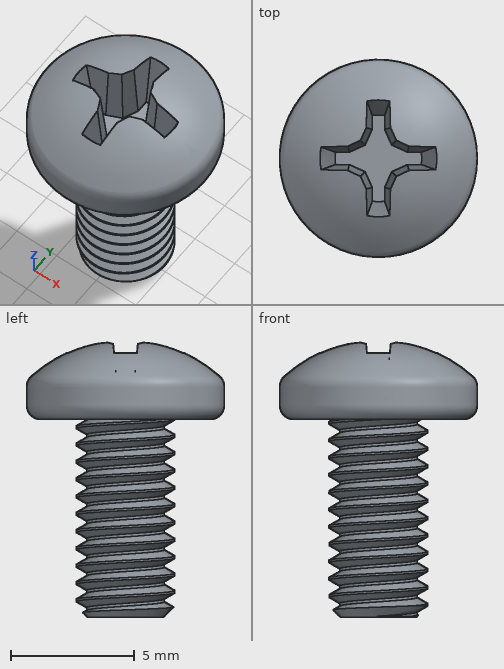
import math

import cadquery as cq


head_radius = 4.0
dome_radius = 5.7
dome_apex_height = 3.206
rim_fillet = 0.57

shank_length = 8.0
pitch = 0.7
major_radius = 2.0
thread_depth_ratio = 0.6134
minor_radius = major_radius - thread_depth_ratio * pitch
crest_width = pitch / 8
flank_angle = 30.0
first_crest_height = -0.315
thread_run_in = pitch
thread_run_out = pitch
ridge_root_overlap = 0.05
tip_radius = 1.53
tip_chamfer = 0.7

recess_floor_height = 0.3
recess_arm_half_width = 0.25
recess_outline_reach = 3.0
recess_arm_reach = 1.75
recess_arm_root = 1.18
recess_inner_corner = 0.54
recess_wall_draft = 5.0
recess_end_draft = 14.3


def on_arc(centre, radius, angle):
    """Point of an arc at an angle measured from the first axis of its plane."""
    return (centre[0] + radius * math.cos(angle), centre[1] + radius * math.sin(angle))


def make_head():
    """Domed disc whose rim is rounded below and blends tangentially into the dome above."""
    fillet_centre_x = head_radius - rim_fillet
    dome_centre_z = dome_apex_height - dome_radius
    top_fillet_rise = math.sqrt((dome_radius - rim_fillet) ** 2 - fillet_centre_x**2)
    blend_angle = math.atan2(top_fillet_rise, fillet_centre_x)
    dome_middle_angle = (blend_angle + math.pi / 2) / 2
    dome_centre = (0, dome_centre_z)
    top_fillet_centre = (fillet_centre_x, dome_centre_z + top_fillet_rise)
    bottom_fillet_centre = (fillet_centre_x, rim_fillet)

    profile = (
        cq.Workplane("XZ")
        .lineTo(fillet_centre_x, 0)
        .threePointArc(
            on_arc(bottom_fillet_centre, rim_fillet, -math.pi / 4),
            on_arc(bottom_fillet_centre, rim_fillet, 0),
        )
        .lineTo(*on_arc(top_fillet_centre, rim_fillet, 0))
        .threePointArc(
            on_arc(top_fillet_centre, rim_fillet, blend_angle / 2),
            on_arc(dome_centre, dome_radius, blend_angle),
        )
        .threePointArc(on_arc(dome_centre, dome_radius, dome_middle_angle), (0, dome_apex_height))
        .close()
    )
    return profile.revolve(360, (0, 0, 0), (0, 1, 0))


def make_ridge():
    """Right-handed helical ridge, longer than the shank at both ends."""
    helix_top = first_crest_height + math.ceil(thread_run_in / pitch) * pitch
    turns = math.ceil((helix_top + shank_length + thread_run_out) / pitch)
    helix_bottom = helix_top - turns * pitch
    helix = cq.Wire.makeHelix(pitch, turns * pitch, major_radius, cq.Vector(0, 0, helix_bottom))

    root_radius = minor_radius - ridge_root_overlap
    crest_half = crest_width / 2
    root_half = crest_half + (major_radius - root_radius) * math.tan(math.radians(flank_angle))
    ridge = (
        cq.Workplane("XZ", origin=(0, 0, helix_bottom))
        .moveTo(root_radius, -root_half)
        .lineTo(major_radius, -crest_half)
        .lineTo(major_radius, crest_half)
        .lineTo(root_radius, root_half)
        .close()
        .sweep(cq.Workplane(obj=helix), isFrenet=True)
    )
    return ridge.rotate((0, 0, 0), (0, 0, 1), 90)


def make_shank():
    """Threaded shank with a 45 degree chamfer at the tip, running up into the head."""
    core = cq.Workplane("XY", origin=(0, 0, -shank_length)).circle(minor_radius)
    core = core.extrude(shank_length + thread_run_in)
    envelope = (
        cq.Workplane("XY", origin=(0, 0, -shank_length))
        .circle(tip_radius + tip_chamfer)
        .extrude(shank_length + thread_run_in)
        .faces("<Z")
        .chamfer(tip_chamfer)
    )
    return core.union(make_ridge()).intersect(envelope)


def make_recess():
    """Four-armed cross with drafted walls, its arms ended by a cone."""
    quarter = [
        (recess_outline_reach, recess_arm_half_width),
        (recess_arm_root, recess_arm_half_width),
        (recess_inner_corner, recess_inner_corner),
        (recess_arm_half_width, recess_arm_root),
        (recess_arm_half_width, recess_outline_reach),
    ]
    outline = []
    for quarter_turns in range(4):
        angle = quarter_turns * math.pi / 2
        for x, y in quarter:
            outline.append(
                (x * math.cos(angle) - y * math.sin(angle), x * math.sin(angle) + y * math.cos(angle))
            )
    height = dome_apex_height - recess_floor_height
    floor = cq.Workplane("XY", origin=(0, 0, recess_floor_height))
    cross = floor.polyline(outline).close().extrude(height, taper=-recess_wall_draft)
    cone = floor.circle(recess_arm_reach).extrude(height, taper=-recess_end_draft)
    return cross.intersect(cone)


result = make_head().union(make_shank()).cut(make_recess())